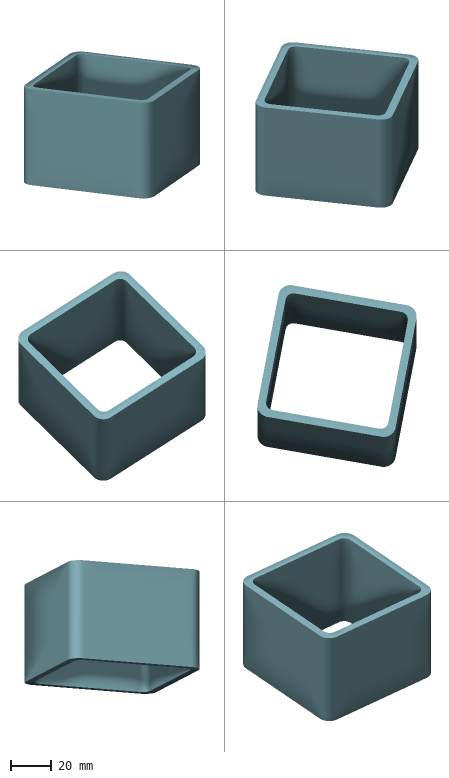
import cadquery as cq

side = 70.0
height = 50.0
wall = 4.0
outer_radius = 6.0
inner_radius = 4.0


def rounded_square_prism(width, corner_radius):
    """Square prism, centred on Z, with rounded vertical edges."""
    return (
        cq.Workplane("XY")
        .rect(width, width)
        .extrude(height)
        .edges("|Z")
        .fillet(corner_radius)
    )


outer_body = rounded_square_prism(side, outer_radius)
through_opening = rounded_square_prism(side - 2 * wall, inner_radius)

result = outer_body.cut(through_opening)